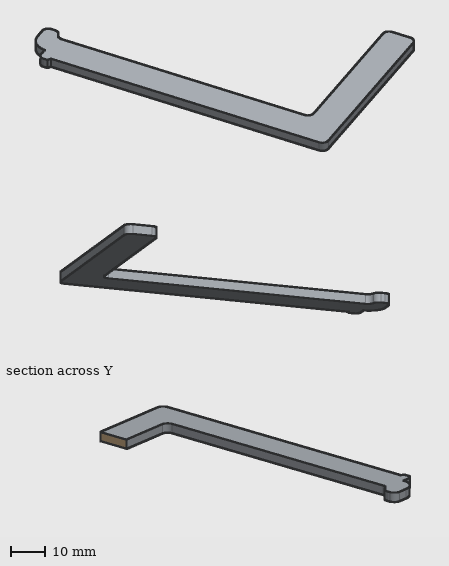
import cadquery as cq
import math

LENGTH = 99.5
ARM_HEIGHT = 58.0
BAR_WIDTH = 10.0
THICKNESS = 3.0

OUTER_RADIUS = 2.0
INNER_RADIUS = 2.0

HEAD_WIDTH = 5.0
HEAD_RISE = 3.0
HEAD_TOP_RADIUS = 2.0
NECK_RADIUS = 2.0
HEAD_LOWER_RADIUS = HEAD_WIDTH
HEAD_BOTTOM = 3.0

TAB_DROP = 1.0
TAB_LENGTH = 3.0
TAB_SLOPE_ANGLE = 60.0
TAB_CORNER_RADIUS = 1.5

HEEL_SIZE = TAB_CORNER_RADIUS
HEEL_HEIGHT = THICKNESS / 2

RIGHT = (1, 0)
UP = (0, 1)
LEFT = (-1, 0)
DOWN = (0, -1)


def point_on_circle(center, radius, angle):
    """Point on a circle at an angle in radians, counted from +X."""
    return (center[0] + radius * math.cos(angle), center[1] + radius * math.sin(angle))


def add_rounded_corner(outline, corner, incoming, outgoing, radius):
    """Draw a line towards a square corner, then a quarter circle around it."""
    start = (corner[0] - radius * incoming[0], corner[1] - radius * incoming[1])
    end = (corner[0] + radius * outgoing[0], corner[1] + radius * outgoing[1])
    outward = (incoming[0] - outgoing[0], incoming[1] - outgoing[1])
    center = (corner[0] - radius * outward[0], corner[1] - radius * outward[1])
    middle = point_on_circle(center, radius, math.atan2(outward[1], outward[0]))
    return outline.lineTo(*start).threePointArc(middle, end)


def add_tab(outline):
    """Tab under the bar: rounded on the head side, sloping on the other."""
    outline = add_rounded_corner(outline, (HEAD_WIDTH, -TAB_DROP), DOWN, RIGHT, TAB_CORNER_RADIUS)
    tip_end = HEAD_WIDTH + TAB_LENGTH
    slope_run = TAB_DROP / math.tan(math.radians(TAB_SLOPE_ANGLE))
    return outline.lineTo(tip_end, -TAB_DROP).lineTo(tip_end + slope_run, 0)


def add_arm(outline):
    """Outer corner, rounded tip and inner corner of the upright arm."""
    inner_side = LENGTH - BAR_WIDTH
    outline = add_rounded_corner(outline, (LENGTH, 0), RIGHT, UP, OUTER_RADIUS)
    outline = add_rounded_corner(outline, (LENGTH, ARM_HEIGHT), UP, LEFT, OUTER_RADIUS)
    outline = add_rounded_corner(outline, (inner_side, ARM_HEIGHT), LEFT, DOWN, OUTER_RADIUS)
    return add_rounded_corner(outline, (inner_side, BAR_WIDTH), DOWN, LEFT, INNER_RADIUS)


def add_neck(outline):
    """S-curve from the bar to the top of the head: a hollow running smoothly into a round."""
    head_top = BAR_WIDTH + HEAD_RISE
    hollow_center = (HEAD_WIDTH + NECK_RADIUS, BAR_WIDTH + NECK_RADIUS)
    center_distance = NECK_RADIUS + HEAD_TOP_RADIUS
    round_y = head_top - HEAD_TOP_RADIUS
    contact_angle = math.asin((hollow_center[1] - round_y) / center_distance)
    round_center = (hollow_center[0] - center_distance * math.cos(contact_angle), round_y)
    contact = point_on_circle(round_center, HEAD_TOP_RADIUS, contact_angle)

    hollow_middle_angle = (1.5 * math.pi + math.pi + contact_angle) / 2
    hollow_middle = point_on_circle(hollow_center, NECK_RADIUS, hollow_middle_angle)
    round_middle_angle = (contact_angle + math.pi / 2) / 2
    round_middle = point_on_circle(round_center, HEAD_TOP_RADIUS, round_middle_angle)

    outline = outline.lineTo(hollow_center[0], BAR_WIDTH)
    outline = outline.threePointArc(hollow_middle, contact)
    return outline.threePointArc(round_middle, (round_center[0], head_top))


def add_head(outline):
    """Free end of the head, down to its large lower round."""
    outline = add_rounded_corner(outline, (0, BAR_WIDTH + HEAD_RISE), LEFT, DOWN, HEAD_TOP_RADIUS)
    return add_rounded_corner(outline, (0, HEAD_BOTTOM), DOWN, RIGHT, HEAD_LOWER_RADIUS)


def make_square_heel():
    """Square end corner of the bar, kept over the lower half of the thickness."""
    heel = cq.Workplane("XY").box(HEEL_SIZE, HEEL_SIZE, HEEL_HEIGHT, centered=False)
    return heel.translate((HEAD_WIDTH, 0, 0))


def make_plate():
    """Flat L-shaped plate, drawn counterclockwise from the notch under the head."""
    outline = cq.Workplane("XY").moveTo(HEAD_WIDTH, HEAD_BOTTOM)
    for add_section in (add_tab, add_arm, add_neck, add_head):
        outline = add_section(outline)
    return outline.close().extrude(THICKNESS)


result = make_plate().union(make_square_heel())